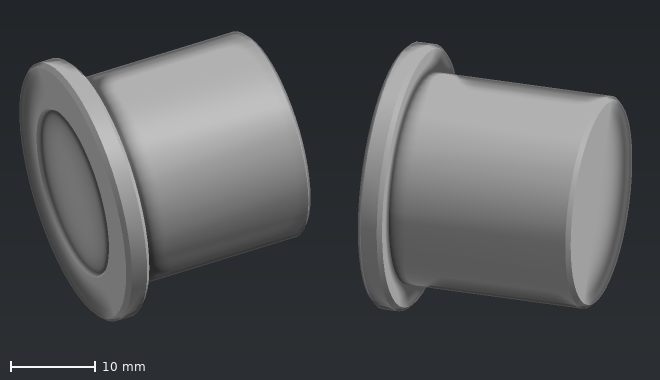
import cadquery as cq

flange_diameter = 32.0
flange_thickness = 3.0
body_diameter = 25.47
total_length = 25.4
edge_chamfer = 0.5

recess_mouth_diameter = 21.0
recess_depth = 0.5


def disc(diameter, start_y, length):
    """Solid cylinder along +Y, starting at start_y."""
    plane = cq.Workplane("XZ", origin=(0, start_y, 0))
    return plane.circle(diameter / 2).extrude(-length)


flange = disc(flange_diameter, 0, flange_thickness).edges().chamfer(edge_chamfer)

body = disc(body_diameter, 0, total_length).faces(">Y").edges().chamfer(edge_chamfer)

recess_floor_diameter = recess_mouth_diameter - 2 * recess_depth
recess = cq.Workplane(
    cq.Solid.makeCone(
        recess_mouth_diameter / 2,
        recess_floor_diameter / 2,
        recess_depth,
        pnt=cq.Vector(0, 0, 0),
        dir=cq.Vector(0, 1, 0),
    )
)

result = flange.union(body).cut(recess)